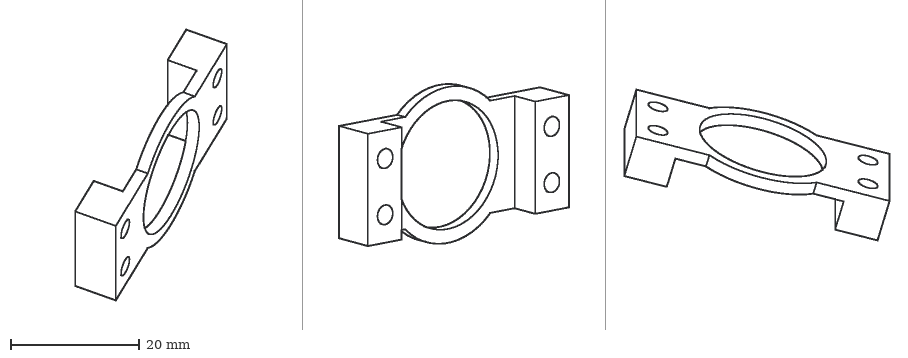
import cadquery as cq

length = 41.0
depth = 7.0
body_height = 18.0

plate_thickness = 2.0
ring_diameter = 25.0
bore_diameter = 20.5

block_width = 6.9
block_spacing = length - block_width
hole_diameter = 3.1
hole_spacing_y = 34.0
hole_spacing_z = body_height / 2

back_x = depth / 2


def back_plane():
    """Sketch plane on the back face: local x is Y, local y is Z, extrusion goes +X."""
    return cq.Workplane("YZ", origin=(back_x, 0, 0))


plate = back_plane().rect(length, body_height).extrude(-plate_thickness)
ring = back_plane().circle(ring_diameter / 2).extrude(-plate_thickness)

blocks = (
    back_plane()
    .rarray(block_spacing, 0.4, 2, 1)
    .rect(block_width, body_height)
    .extrude(-depth)
)

bore = back_plane().circle(bore_diameter / 2).extrude(-depth)
mounting_holes = (
    back_plane()
    .rarray(hole_spacing_y, hole_spacing_z, 2, 2)
    .circle(hole_diameter / 2)
    .extrude(-depth)
)

result = plate.union(ring).union(blocks).cut(bore).cut(mounting_holes)